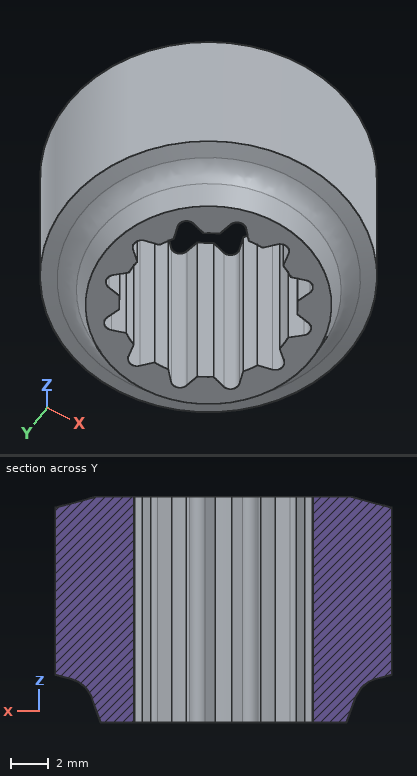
import cadquery as cq
import math

outer_radius = 8.94
height = 12.0
top_face_radius = 6.75
chamfer_angle = math.radians(15)

shoulder_z = 2.54
neck_end_radius = 6.53
neck_taper = math.radians(20)
neck_fillet = 1.5
selection_margin = 0.18

groove_count = 12
bore_radius = 4.74
groove_radius = 5.67
groove_half_width = 0.8
flank_angle = math.radians(27)
groove_tip_radius = 0.48


def make_body():
    """Turned outside shape, solid through the middle."""
    chamfer_height = (outer_radius - top_face_radius) * math.tan(chamfer_angle)
    shoulder_slope = math.tan(chamfer_angle)
    neck_slope = math.tan(neck_taper)
    corner_z = (shoulder_z - (outer_radius - neck_end_radius) * shoulder_slope) / (
        1 - neck_slope * shoulder_slope
    )
    corner_radius = neck_end_radius + corner_z * neck_slope
    body = (
        cq.Workplane("YZ")
        .moveTo(0, 0)
        .lineTo(neck_end_radius, 0)
        .lineTo(corner_radius, corner_z)
        .lineTo(outer_radius, shoulder_z)
        .lineTo(outer_radius, height - chamfer_height)
        .lineTo(top_face_radius, height)
        .lineTo(0, height)
        .close()
        .revolve(360, (0, 0, 0), (0, 1, 0))
    )
    corner_edge = cq.selectors.BoxSelector(
        (-outer_radius, -outer_radius, corner_z - selection_margin),
        (outer_radius, outer_radius, corner_z + selection_margin),
    )
    return body.edges(corner_edge).fillet(neck_fillet)


def make_groove(angle):
    """One round-bottomed, V-sided groove cutter pointing along +X, then turned to angle."""
    mouth_x = math.sqrt(bore_radius**2 - groove_half_width**2)
    tip_centre = groove_radius - groove_tip_radius
    tangent_x = tip_centre + groove_tip_radius * math.sin(flank_angle)
    tangent_y = groove_tip_radius * math.cos(flank_angle)
    return (
        cq.Workplane("XY")
        .moveTo(0, 0)
        .lineTo(mouth_x, -groove_half_width)
        .lineTo(tangent_x, -tangent_y)
        .threePointArc((groove_radius, 0), (tangent_x, tangent_y))
        .lineTo(mouth_x, groove_half_width)
        .close()
        .extrude(height)
        .rotate((0, 0, 0), (0, 0, 1), angle)
    )


bore = cq.Workplane("XY").circle(bore_radius).extrude(height)
result = make_body().cut(bore)

pitch = 360 / groove_count
for index in range(groove_count):
    result = result.cut(make_groove((index + 0.5) * pitch))